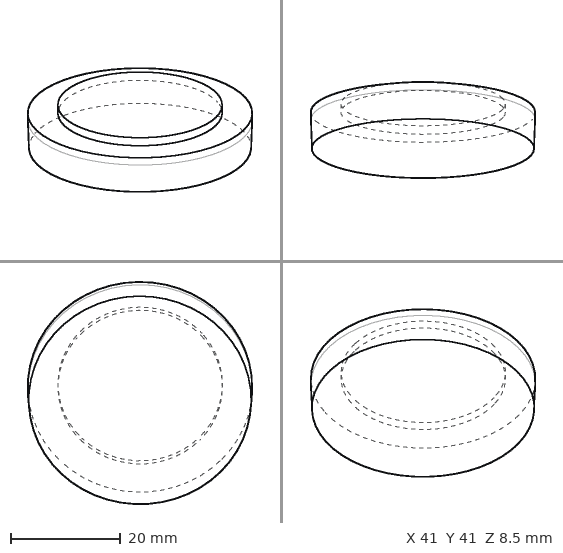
import cadquery as cq
import math

total_height = 8.5
rim_diameter = 41.0
rim_height = 1.4
boss_diameter = 30.0
boss_height = 1.6
draft_angle = 2.0

rim_top = total_height - boss_height
taper_top = rim_top - rim_height
base_diameter = rim_diameter - 2 * taper_top * math.tan(math.radians(draft_angle))


def make_tapered_body():
    """Round body that widens slightly from the underside up to the rim."""
    return (
        cq.Workplane("XY")
        .circle(base_diameter / 2)
        .workplane(offset=taper_top)
        .circle(rim_diameter / 2)
        .loft(ruled=True)
    )


def make_disc(diameter, bottom, height):
    """Straight-sided disc centred on the Z axis."""
    return cq.Workplane("XY").workplane(offset=bottom).circle(diameter / 2).extrude(height)


rim = make_disc(rim_diameter, taper_top, rim_height)
boss = make_disc(boss_diameter, rim_top, boss_height)

result = make_tapered_body().union(rim).union(boss)